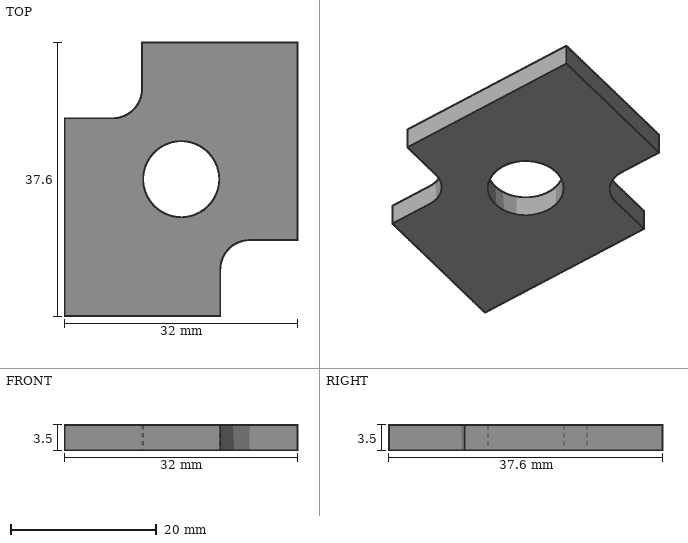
import cadquery as cq

width = 32.0
length = 37.6
thickness = 3.5

hole_diameter = 10.4

notch_width = 10.6
notch_length = 10.4
notch_radius = 4.0


def corner_notch(side_x, side_y):
    """Cutter for one corner, with its inner vertical edge rounded."""
    return (
        cq.Workplane("XY")
        .center(side_x * width / 2, side_y * length / 2)
        .rect(2 * notch_width, 2 * notch_length)
        .extrude(thickness)
        .edges("|Z")
        .fillet(notch_radius)
    )


plate = cq.Workplane("XY").box(width, length, thickness, centered=(True, True, False))
plate = plate.faces(">Z").workplane().hole(hole_diameter)

for side_x, side_y in ((-1, 1), (1, -1)):
    plate = plate.cut(corner_notch(side_x, side_y))

result = plate